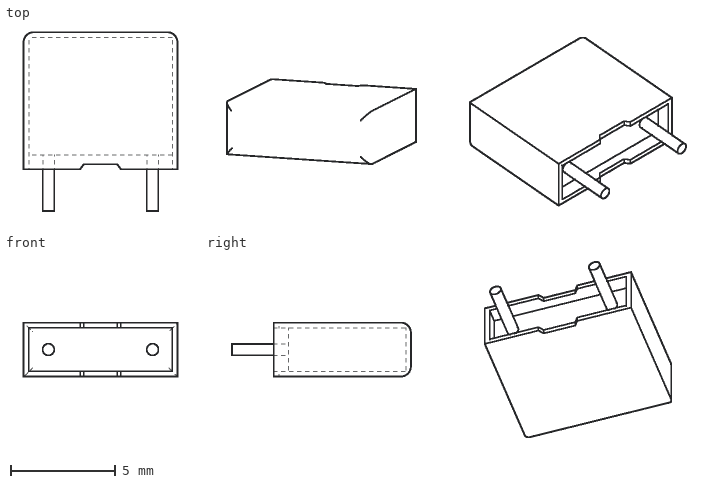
import cadquery as cq

WIDTH = 7.4
LENGTH = 6.6
HEIGHT = 2.6
WALL = 0.25
BACK_RADIUS = 0.5

NOTCH_MOUTH = 1.96
NOTCH_FLOOR = 1.6
NOTCH_DEPTH = 0.25

FILL_RECESS = 0.7

PIN_DIAMETER = 0.56
PIN_PITCH = 5.0
PIN_PROJECTION = 2.0

CAVITY_WIDTH = WIDTH - 2 * WALL
CAVITY_HEIGHT = HEIGHT - 2 * WALL

FILL_FACE_Y = FILL_RECESS
CAVITY_END_Y = LENGTH - WALL
PIN_TIP_Y = -PIN_PROJECTION


def block(width, height, y_start, y_end):
    """Box centred on X and Z that spans y_start to y_end."""
    return (
        cq.Workplane("XY")
        .box(width, y_end - y_start, height, centered=(True, False, True))
        .translate((0, y_start, 0))
    )


def make_notch():
    """Trapezoid cutter that passes through both wide walls."""
    return (
        cq.Workplane("XY")
        .polyline([
            (-NOTCH_MOUTH / 2, 0),
            (NOTCH_MOUTH / 2, 0),
            (NOTCH_FLOOR / 2, NOTCH_DEPTH),
            (-NOTCH_FLOOR / 2, NOTCH_DEPTH),
        ])
        .close()
        .extrude(HEIGHT / 2, both=True)
    )


def make_housing():
    """Thin-walled cup with a rounded back and a notched rim."""
    outer = block(WIDTH, HEIGHT, 0, LENGTH).faces(">Y").edges().fillet(BACK_RADIUS)
    cavity = block(CAVITY_WIDTH, CAVITY_HEIGHT, 0, CAVITY_END_Y)
    return outer.cut(cavity).cut(make_notch())


def make_filling():
    """Potting block that fills the cup behind the recess."""
    return block(CAVITY_WIDTH, CAVITY_HEIGHT, FILL_FACE_Y, CAVITY_END_Y)


def make_pin(x):
    """Round lead along Y that stands on the face of the filling."""
    return (
        cq.Workplane("XZ", origin=(x, FILL_FACE_Y, 0))
        .circle(PIN_DIAMETER / 2)
        .extrude(FILL_FACE_Y - PIN_TIP_Y)
    )


housing = make_housing()
filling = make_filling()
pins = [make_pin(side * PIN_PITCH / 2) for side in (-1, 1)]

result = cq.Compound.makeCompound(
    [housing.val(), filling.val(), *[pin.val() for pin in pins]]
)